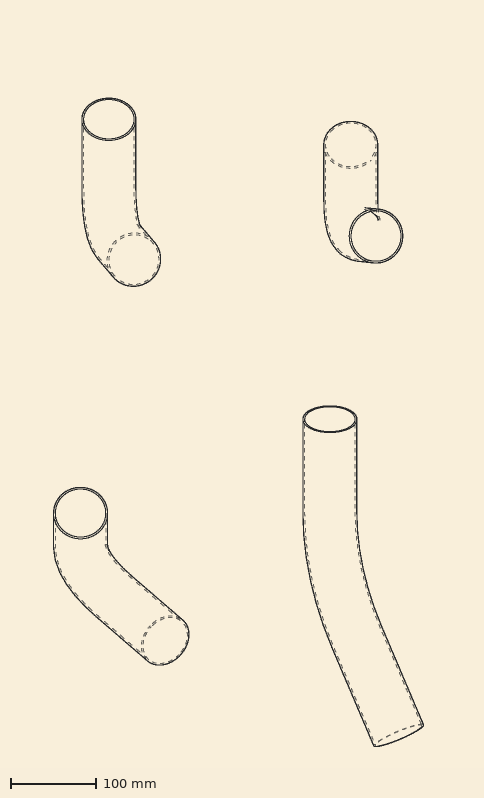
import cadquery as cq
import math

overall_height = 405.3
outer_diameter = 63.5
inner_diameter = 59.0
bend_radius = 304.8
bend_angle = math.radians(30)

bend_height = bend_radius * math.sin(bend_angle)
end_face_drop = outer_diameter / 2 * math.sin(bend_angle)
leg_length = (overall_height - bend_height - end_face_drop) / (1 + math.cos(bend_angle))


def point_on_bend(angle):
    """Centreline point (Y, Z) after turning by angle; the bend starts at the origin."""
    return (bend_radius * (1 - math.cos(angle)), -bend_radius * math.sin(angle))


bend_end = point_on_bend(bend_angle)
lower_end = (
    bend_end[0] + leg_length * math.sin(bend_angle),
    bend_end[1] - leg_length * math.cos(bend_angle),
)
centreline = (
    cq.Workplane("YZ")
    .moveTo(0, leg_length)
    .lineTo(0, 0)
    .threePointArc(point_on_bend(bend_angle / 2), bend_end)
    .lineTo(*lower_end)
)

result = (
    cq.Workplane("XY", origin=(0, 0, leg_length))
    .circle(outer_diameter / 2)
    .circle(inner_diameter / 2)
    .sweep(centreline)
)